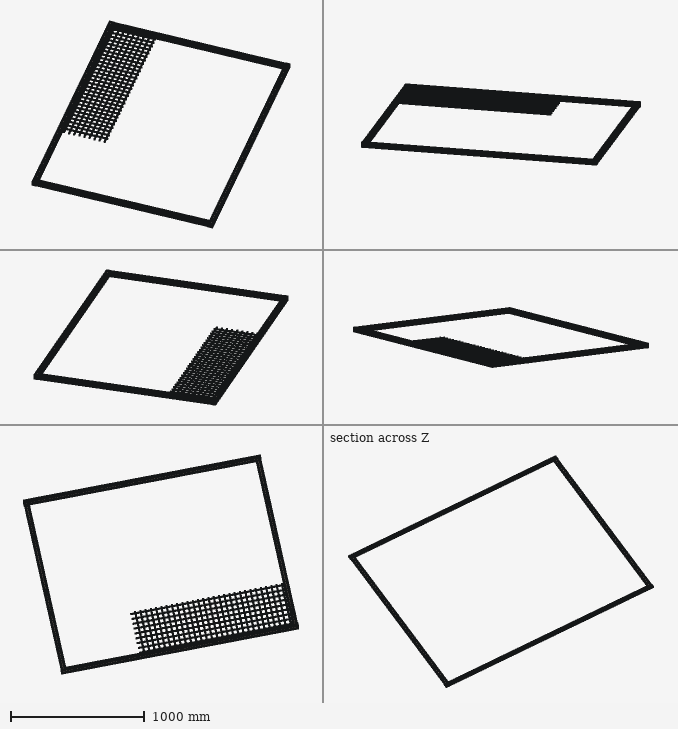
import cadquery as cq

frame_width = 1420.0
side_bar_length = 1806.0
end_cap_thickness = 3.0
bar_size = 30.0

slot_mouth_width = 8.0
slot_lip_thickness = 2.0
cavity_width = 15.0
cavity_floor_width = 8.0
slot_depth = 9.0
corner_hole_size = 3.0
corner_wall = 1.5

wire_diameter = 3.8
wire_pitch = 40.0
layer_spacing = 3.7
long_wire_count = 9
cross_wire_count = 29
first_long_wire_inset = 16.1
first_cross_wire_inset = 16.3
left_clearance = 2.5
rear_clearance = 1.0
mesh_z = -8.7
right_overhang = 11.0
front_overhang = 33.5

profile_length = side_bar_length - 2 * end_cap_thickness
side_bar_x = (frame_width - bar_size) / 2
cross_bar_y = (profile_length - bar_size) / 2
inner_x = side_bar_x - bar_size / 2
inner_y = cross_bar_y - bar_size / 2
cap_y = (side_bar_length - end_cap_thickness) / 2


def bar_profile(length):
    """Slotted bar along local Z, with its open slots on the local +X and -X faces."""
    half = bar_size / 2
    bar = cq.Workplane("XY").rect(bar_size, bar_size).extrude(length)

    ceiling = half - slot_lip_thickness
    floor = half - slot_depth
    cavity = (
        cq.Workplane("XY")
        .moveTo(ceiling, -cavity_width / 2)
        .lineTo(ceiling, cavity_width / 2)
        .lineTo(floor, cavity_floor_width / 2)
        .lineTo(floor, -cavity_floor_width / 2)
        .close()
        .extrude(length)
    )
    for angle in (0, 90, 180, 270):
        bar = bar.cut(cavity.rotate((0, 0, 0), (0, 0, 1), angle))

    mouth_x = half - slot_lip_thickness / 2
    mouths = (
        cq.Workplane("XY")
        .pushPoints([(-mouth_x, 0), (mouth_x, 0)])
        .rect(slot_lip_thickness, slot_mouth_width)
        .extrude(length)
    )

    corner_spacing = bar_size - 2 * corner_wall - corner_hole_size
    corner_holes = (
        cq.Workplane("XY")
        .rect(corner_spacing, corner_spacing, forConstruction=True)
        .vertices()
        .rect(corner_hole_size, corner_hole_size)
        .extrude(length)
    )
    return bar.cut(mouths).cut(corner_holes)


def placed_bar(length, start, slot_direction, bar_direction):
    """Bar running from start along bar_direction, with its slots facing slot_direction."""
    plane = cq.Plane(origin=start, xDir=slot_direction, normal=bar_direction)
    return cq.Workplane(bar_profile(length).val().moved(plane.location))


def make_frame():
    """Side bars with end caps and the two cross bars, joined into one solid."""
    parts = []
    for side in (-1, 1):
        x = side * side_bar_x
        y = side * cross_bar_y
        parts.append(placed_bar(profile_length, (x, -profile_length / 2, 0), (1, 0, 0), (0, 1, 0)))
        parts.append(placed_bar(2 * inner_x, (-inner_x, y, 0), (0, 1, 0), (1, 0, 0)))
        for end in (-1, 1):
            cap = cq.Workplane("XY").box(bar_size, end_cap_thickness, bar_size)
            parts.append(cap.translate((x, end * cap_y, 0)))
    joined = parts[0]
    for part in parts[1:]:
        joined = joined.union(part)
    return joined.clean()


def wire(start, direction, length):
    """Round wire running from start along direction."""
    return cq.Solid.makeCylinder(wire_diameter / 2, length, cq.Vector(*start), cq.Vector(*direction))


def make_mesh():
    """Wires along Y in the lower layer, wires along X welded on top of them."""
    left_end = -inner_x + left_clearance
    rear_end = inner_y - rear_clearance
    long_wire_x = [-inner_x + first_long_wire_inset + i * wire_pitch for i in range(long_wire_count)]
    cross_wire_y = [inner_y - first_cross_wire_inset - i * wire_pitch for i in range(cross_wire_count)]
    front_end = cross_wire_y[-1] - front_overhang
    right_end = long_wire_x[-1] + right_overhang
    lower_z = mesh_z - layer_spacing / 2
    upper_z = mesh_z + layer_spacing / 2

    wires = []
    for x in long_wire_x:
        wires.append(wire((x, front_end, lower_z), (0, 1, 0), rear_end - front_end))
    for y in cross_wire_y:
        wires.append(wire((left_end, y, upper_z), (1, 0, 0), right_end - left_end))
    return cq.Workplane(wires[0].fuse(*wires[1:]))


frame = make_frame()
mesh = make_mesh()

result = cq.Compound.makeCompound([*frame.solids().vals(), *mesh.solids().vals()])